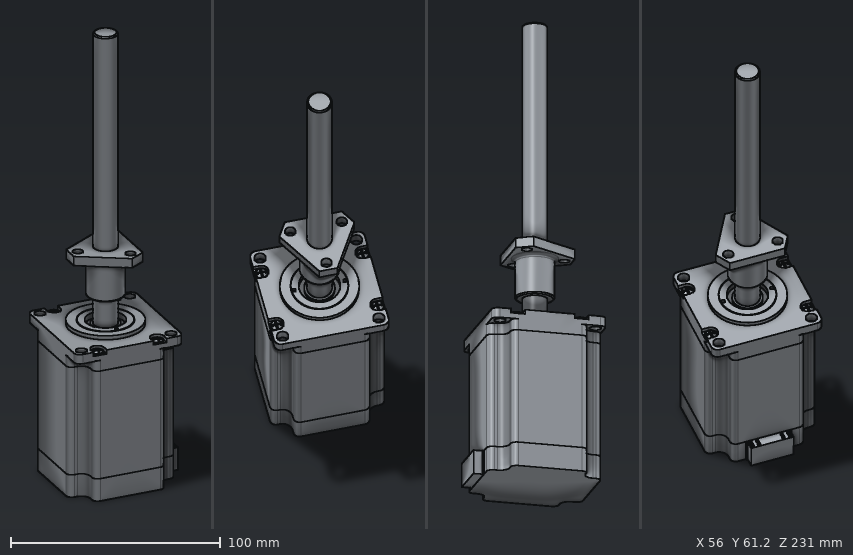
import cadquery as cq
import math

MOTOR_SIDE = 56.0
HALF_SIDE = MOTOR_SIDE / 2
REAR_CAP_TOP = 11.8
STATOR_TOP = 68.1
FLAT_HALF_WIDTH = 15.7
EDGE_RADIUS = 3.0
SCOOP_RADIUS = 4.8

FLANGE_BOTTOM = 73.7
FLANGE_TOP = 78.5
FLANGE_CORNER_RADIUS = 3.2
MOUNT_HOLE_OFFSET = 23.5
MOUNT_HOLE_RADIUS = 2.8
BOSS_TOP = 80.5
BOSS_RADIUS = 19.0

SCREW_X = 24.7
SCREW_Y = 15.7
POCKET_RADIUS = 3.5
POCKET_DEPTH = 2.0
HEAD_RADIUS = 3.0
HEAD_RIM_HEIGHT = 0.7
HEAD_HEIGHT = 1.6
CROSS_LENGTH = 4.6
CROSS_WIDTH = 0.7
CROSS_DEPTH = 1.0

RETAINER_RADIUS = 13.9
RETAINER_HEIGHT = 7.0
RETAINER_CHAMFER = 0.2
RECESS_RADIUS = 10.0
RECESS_DEPTH = 3.0
RACE_RADIUS = 7.5
RACE_HEIGHT = 1.2
SPANNER_HOLE_X = 12.5
SPANNER_HOLE_RADIUS = 1.0
SPANNER_HOLE_DEPTH = 1.8

CONNECTOR_BASE_HALF_WIDTH = 11.5
CONNECTOR_BASE_Y = 28.9
CONNECTOR_HALF_WIDTH = 10.9
OVERALL_DEPTH = 61.2
CONNECTOR_TIP_Y = OVERALL_DEPTH - HALF_SIDE
GROOVE_POSITIONS = (6.2, 9.5)
GROOVE_WIDTH = 1.2
GROOVE_DEPTH = 1.2
GROOVE_END_WALL = 0.7

SHAFT_RADIUS = 6.0
SHAFT_TOP = 231
SHAFT_CHAMFER = 0.7

NUT_BOTTOM = 93.7
PLATE_BOTTOM = 114.0
PLATE_TOP = 119.0
NUT_RADIUS = 9.5
NUT_NECK_FILLET = 1.8
NUT_CHAMFER = 0.7
PLATE_SIDE_DISTANCE = 13.2
PLATE_CORNER_DISTANCE = 18.7
PLATE_HOLE_CIRCLE_RADIUS = 14.5
PLATE_HOLE_RADIUS = 2.5


def level(z):
    """Workplane parallel to XY at height z."""
    return cq.Workplane("XY").workplane(offset=z)


def disc(radius, z_bottom, z_top):
    return level(z_bottom).circle(radius).extrude(z_top - z_bottom)


def block(x_size, y_size, z_bottom, z_top, center=(0, 0)):
    return level(z_bottom).center(*center).rect(x_size, y_size).extrude(z_top - z_bottom)


def corner_relief(z_bottom, z_top):
    """Material removed at the +X +Y corner: two rounded edges and a concave scoop between them."""
    shoulder = FLAT_HALF_WIDTH + EDGE_RADIUS
    edge_center = HALF_SIDE - EDGE_RADIUS
    edge_mid = EDGE_RADIUS * math.sqrt(0.5)
    scoop_center = shoulder + SCOOP_RADIUS
    scoop_mid = scoop_center - SCOOP_RADIUS * math.sqrt(0.5)
    return (
        level(z_bottom)
        .moveTo(FLAT_HALF_WIDTH, HALF_SIDE)
        .threePointArc((FLAT_HALF_WIDTH + edge_mid, edge_center + edge_mid), (shoulder, edge_center))
        .lineTo(shoulder, scoop_center)
        .threePointArc((scoop_mid, scoop_mid), (scoop_center, shoulder))
        .lineTo(edge_center, shoulder)
        .threePointArc((edge_center + edge_mid, FLAT_HALF_WIDTH + edge_mid), (HALF_SIDE, FLAT_HALF_WIDTH))
        .lineTo(HALF_SIDE, HALF_SIDE)
        .close()
        .extrude(z_top - z_bottom)
    )


def housing_section(z_bottom, z_top):
    section = block(MOTOR_SIDE, MOTOR_SIDE, z_bottom, z_top)
    relief = corner_relief(z_bottom, z_top)
    for quarter in range(4):
        section = section.cut(relief.rotate((0, 0, 0), (0, 0, 1), 90 * quarter))
    return section


def make_rear_cap():
    return housing_section(0, REAR_CAP_TOP)


def make_stator():
    return housing_section(REAR_CAP_TOP, STATOR_TOP).cut(disc(SHAFT_RADIUS, REAR_CAP_TOP, STATOR_TOP))


def screw_pocket(x, y):
    """U-shaped pocket that runs out through the nearer X side of the flange."""
    floor = FLANGE_TOP - POCKET_DEPTH
    run_out = HALF_SIDE - abs(x)
    slot_center = (x + math.copysign(run_out / 2, x), y)
    slot = block(run_out, 2 * POCKET_RADIUS, floor, FLANGE_TOP, slot_center)
    return disc(POCKET_RADIUS, floor, FLANGE_TOP).translate((x, y, 0)).union(slot)


def screw_head(x, y):
    """Low domed head with a cross recess."""
    floor = FLANGE_TOP - POCKET_DEPTH
    top = floor + HEAD_HEIGHT
    dome_rise = HEAD_HEIGHT - HEAD_RIM_HEIGHT
    dome_radius = (HEAD_RADIUS**2 + dome_rise**2) / (2 * dome_rise)
    dome = cq.Workplane("XY").sphere(dome_radius).translate((0, 0, top - dome_radius))
    head = disc(HEAD_RADIUS, floor, top).intersect(dome)
    head = head.cut(block(CROSS_LENGTH, CROSS_WIDTH, top - CROSS_DEPTH, top))
    head = head.cut(block(CROSS_WIDTH, CROSS_LENGTH, top - CROSS_DEPTH, top))
    return head.translate((x, y, 0))


def make_front_cap():
    flange = block(MOTOR_SIDE, MOTOR_SIDE, FLANGE_BOTTOM, FLANGE_TOP).edges("|Z").fillet(FLANGE_CORNER_RADIUS)
    mount_hole = disc(MOUNT_HOLE_RADIUS, FLANGE_BOTTOM, FLANGE_TOP)
    for x_sign in (-1, 1):
        for y_sign in (-1, 1):
            flange = flange.cut(mount_hole.translate((x_sign * MOUNT_HOLE_OFFSET, y_sign * MOUNT_HOLE_OFFSET, 0)))
            screw_at = (x_sign * SCREW_X, y_sign * SCREW_Y)
            flange = flange.cut(screw_pocket(*screw_at)).union(screw_head(*screw_at))
    cap = housing_section(STATOR_TOP, FLANGE_BOTTOM).union(flange).union(disc(BOSS_RADIUS, FLANGE_TOP, BOSS_TOP))
    cap = cap.cut(disc(SHAFT_RADIUS, STATOR_TOP, BOSS_TOP))
    return cap.cut(disc(RETAINER_RADIUS, BOSS_TOP - RETAINER_HEIGHT, BOSS_TOP))


def make_retainer():
    floor = BOSS_TOP - RECESS_DEPTH
    ring = disc(RETAINER_RADIUS, BOSS_TOP - RETAINER_HEIGHT, BOSS_TOP).faces(">Z").chamfer(RETAINER_CHAMFER)
    ring = ring.cut(disc(RECESS_RADIUS, floor, BOSS_TOP)).union(disc(RACE_RADIUS, floor, floor + RACE_HEIGHT))
    spanner_hole = disc(SPANNER_HOLE_RADIUS, BOSS_TOP - SPANNER_HOLE_DEPTH, BOSS_TOP)
    for x in (-SPANNER_HOLE_X, SPANNER_HOLE_X):
        ring = ring.cut(spanner_hole.translate((x, 0, 0)))
    return ring.cut(disc(SHAFT_RADIUS, BOSS_TOP - RETAINER_HEIGHT, BOSS_TOP))


def connector_block(half_width, y_end):
    y_middle = (HALF_SIDE + y_end) / 2
    return block(2 * half_width, y_end - HALF_SIDE, 0, REAR_CAP_TOP, (0, y_middle))


def make_connector():
    connector = connector_block(CONNECTOR_BASE_HALF_WIDTH, CONNECTOR_BASE_Y)
    connector = connector.union(connector_block(CONNECTOR_HALF_WIDTH, CONNECTOR_TIP_Y))
    groove_end = CONNECTOR_TIP_Y - GROOVE_END_WALL
    groove = block(
        GROOVE_WIDTH,
        groove_end - CONNECTOR_BASE_Y,
        REAR_CAP_TOP - GROOVE_DEPTH,
        REAR_CAP_TOP,
        (0, (CONNECTOR_BASE_Y + groove_end) / 2),
    )
    for distance in GROOVE_POSITIONS:
        for x in (-distance, distance):
            connector = connector.cut(groove.translate((x, 0, 0)))
    return connector


def make_shaft():
    return disc(SHAFT_RADIUS, REAR_CAP_TOP, SHAFT_TOP).faces(">Z").chamfer(SHAFT_CHAMFER)


def plate_vertex(side_angle, corner_angle):
    """Point where a long side of the nut plate meets a corner cut; angles are those of their normals."""
    a = math.radians(side_angle)
    b = math.radians(corner_angle)
    spread = math.sin(b - a)
    x = (PLATE_SIDE_DISTANCE * math.sin(b) - PLATE_CORNER_DISTANCE * math.sin(a)) / spread
    y = (PLATE_CORNER_DISTANCE * math.cos(a) - PLATE_SIDE_DISTANCE * math.cos(b)) / spread
    return (x, y)


def make_nut_plate():
    outline = []
    for side_angle in (90, 210, 330):
        outline.append(plate_vertex(side_angle, side_angle - 60))
        outline.append(plate_vertex(side_angle, side_angle + 60))
    plate = level(PLATE_BOTTOM).polyline(outline).close().extrude(PLATE_TOP - PLATE_BOTTOM)
    holes = (
        level(PLATE_BOTTOM)
        .polarArray(PLATE_HOLE_CIRCLE_RADIUS, 30, 360, 3)
        .circle(PLATE_HOLE_RADIUS)
        .extrude(PLATE_TOP - PLATE_BOTTOM)
    )
    return plate.cut(holes)


def make_nut_barrel():
    """Chamfered cylinder with a concave neck fillet under the plate."""
    neck_bottom = PLATE_BOTTOM - NUT_NECK_FILLET
    neck_radius = NUT_RADIUS + NUT_NECK_FILLET
    neck_mid = NUT_NECK_FILLET * math.sqrt(0.5)
    return (
        cq.Workplane("XZ")
        .moveTo(0, NUT_BOTTOM)
        .lineTo(NUT_RADIUS - NUT_CHAMFER, NUT_BOTTOM)
        .lineTo(NUT_RADIUS, NUT_BOTTOM + NUT_CHAMFER)
        .lineTo(NUT_RADIUS, neck_bottom)
        .threePointArc((neck_radius - neck_mid, neck_bottom + neck_mid), (neck_radius, PLATE_BOTTOM))
        .lineTo(0, PLATE_BOTTOM)
        .close()
        .revolve()
    )


def make_nut():
    return make_nut_plate().union(make_nut_barrel()).cut(disc(SHAFT_RADIUS, NUT_BOTTOM, PLATE_TOP))


rear_cap = make_rear_cap()
stator = make_stator()
front_cap = make_front_cap()
retainer = make_retainer()
connector = make_connector()
shaft = make_shaft()
nut = make_nut()

result = cq.Compound.makeCompound(
    [
        rear_cap.val(),
        stator.val(),
        front_cap.val(),
        retainer.val(),
        connector.val(),
        shaft.val(),
        nut.val(),
    ]
)